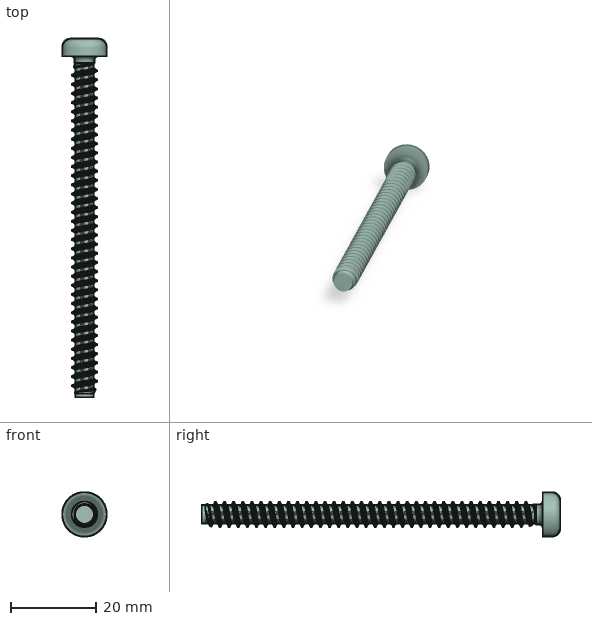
import cadquery as cq


HEAD_DIAMETER = 10.5
HEAD_HEIGHT = 4.19
HEAD_EDGE_RADIUS = HEAD_HEIGHT / 2

SHANK_LENGTH = 80.0
CORE_DIAMETER = 4.4
NECK_DIAMETER = 4.8
NECK_FILLET = 0.7
NECK_LENGTH = 1.5
NECK_TAPER_LENGTH = 0.3

THREAD_DIAMETER = 6.0
THREAD_PITCH = 2.143
HELIX_START = 1.22
ROOT_OVERLAP = 0.15
THREAD_ROOT_WIDTH = 1.55
THREAD_SHOULDER_WIDTH = 0.55
THREAD_SHOULDER_HEIGHT = 0.25
THREAD_CREST_WIDTH = 0.1

ENVELOPE_CLEARANCE = 0.2
HEAD_RUNOUT_START = 0.8
HEAD_RUNOUT_LENGTH = 3.2
TIP_RUNOUT_GAP = 0.1
TIP_RUNOUT_LENGTH = 2.9

HEAD_RADIUS = HEAD_DIAMETER / 2
CORE_RADIUS = CORE_DIAMETER / 2
NECK_RADIUS = NECK_DIAMETER / 2
CREST_RADIUS = THREAD_DIAMETER / 2
ROOT_RADIUS = CORE_RADIUS - ROOT_OVERLAP
SHOULDER_RADIUS = CORE_RADIUS + THREAD_SHOULDER_HEIGHT


def revolve_about_z(section):
    """Revolve an XZ section, whose x is the radius, about the screw axis."""
    return section.revolve(360, (0, 0, 0), (0, 1, 0))


def make_head():
    disc = cq.Workplane("XY").circle(HEAD_RADIUS).extrude(-HEAD_HEIGHT)
    return disc.faces("<Z").edges().fillet(HEAD_EDGE_RADIUS)


def make_shank():
    """Core with the thicker neck and the fillet that meets the head."""
    section = (
        cq.Workplane("XZ")
        .lineTo(NECK_RADIUS + NECK_FILLET, 0)
        .radiusArc((NECK_RADIUS, NECK_FILLET), NECK_FILLET)
        .lineTo(NECK_RADIUS, NECK_LENGTH)
        .lineTo(CORE_RADIUS, NECK_LENGTH + NECK_TAPER_LENGTH)
        .lineTo(CORE_RADIUS, SHANK_LENGTH)
        .lineTo(0, SHANK_LENGTH)
        .close()
    )
    return revolve_about_z(section)


def make_thread_envelope():
    """Solid of revolution whose conical ends fade the thread out."""
    inner_radius = ROOT_RADIUS - ENVELOPE_CLEARANCE
    outer_radius = CREST_RADIUS + ENVELOPE_CLEARANCE
    runout_end = SHANK_LENGTH - TIP_RUNOUT_GAP
    section = (
        cq.Workplane("XZ")
        .moveTo(0, HEAD_RUNOUT_START)
        .lineTo(inner_radius, HEAD_RUNOUT_START)
        .lineTo(outer_radius, HEAD_RUNOUT_START + HEAD_RUNOUT_LENGTH)
        .lineTo(outer_radius, runout_end - TIP_RUNOUT_LENGTH)
        .lineTo(inner_radius, runout_end)
        .lineTo(0, runout_end)
        .close()
    )
    return revolve_about_z(section)


def make_thread():
    """Right-handed ridge swept along the shank and faded out at both ends."""
    helix_length = SHANK_LENGTH - HELIX_START
    helix_origin = cq.Vector(0, 0, HELIX_START)
    helix = cq.Wire.makeHelix(THREAD_PITCH, helix_length, ROOT_RADIUS, helix_origin)
    lower_flank = [
        (ROOT_RADIUS, -THREAD_ROOT_WIDTH / 2),
        (SHOULDER_RADIUS, -THREAD_SHOULDER_WIDTH / 2),
        (CREST_RADIUS, -THREAD_CREST_WIDTH / 2),
    ]
    upper_flank = [(radius, -z) for radius, z in reversed(lower_flank)]
    ridge = (
        cq.Workplane("XZ", origin=helix_origin)
        .polyline(lower_flank + upper_flank)
        .close()
        .sweep(cq.Workplane(helix), isFrenet=True)
    )
    return ridge.intersect(make_thread_envelope())


screw = make_head().union(make_shank()).union(make_thread())
result = screw.rotate((0, 0, 0), (1, 0, 0), 90)